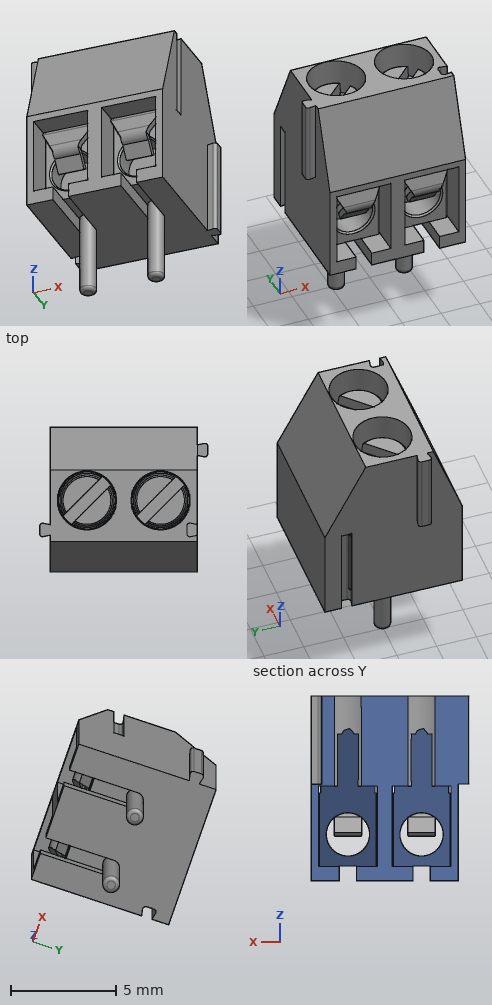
import cadquery as cq
import math


POLE_COUNT = 2
PITCH = 3.5
WIDTH = POLE_COUNT * PITCH
DEPTH = 6.9
TOTAL_HEIGHT = 12.2
PIN_LENGTH = 3.4
HEIGHT = TOTAL_HEIGHT - PIN_LENGTH
SHOULDER_HEIGHT = 4.84
TOP_FRONT = 1.45
TOP_BACK = 4.85

RAIL_REACH = 0.5
RAIL_NECK = 0.51
RAIL_HEAD = 0.72
RAIL_CORNER_RADIUS = 0.15
FRONT_RAIL_Y = 2.01
BACK_RAIL_Y = 5.81
FRONT_RAIL_BOTTOM = 4.6
BACK_RAIL_TOP = 4.7

POLE_Y = 3.42
POCKET_WIDTH = 2.78
POCKET_BOTTOM = 0.7
POCKET_TOP = 4.5
CLAMP_FRONT = 1.29
CLAMP_BACK = 2 * POLE_Y - CLAMP_FRONT
CLAMP_SIDE_GAP = 0.04
CLAMP_WIDTH = POCKET_WIDTH - 2 * CLAMP_SIDE_GAP
CLAMP_TOP = 4.18
CLAMP_EDGE_RADIUS = 0.1

WIRE_HOLE_RADIUS = 1.02
WIRE_HOLE_CHAMFER = 0.09
WIRE_HOLE_Z = 2.21
WIRE_HOLE_DEPTH = 1.22

GUARD_THICKNESS = POCKET_TOP - CLAMP_TOP
GUARD_BEND_RADIUS = 0.46
GUARD_LEAN = math.radians(20)
GUARD_CURL = math.radians(72)
GUARD_TIP_ANGLE = math.radians(37)
GUARD_KNEE_Y = 0.56
GUARD_KNEE_Z = 3.33
GUARD_WIDTH = 2.59
GUARD_TIP_WIDTH = 1.32
GUARD_TAPER_BOTTOM = 3.01
GUARD_TIP_Z = 2.11
GUARD_TIP_CORNER = 0.07

BORE_RADIUS = 1.4
SCREW_RADIUS = 1.35
HEAD_BASE_RADIUS = 1.29
HEAD_RIM_RADIUS = 1.21
SCREW_CHAMFER = 0.07
SCREW_SINK = 1.1
SCREW_TOP = HEIGHT - SCREW_SINK
SCREW_SLOT_WIDTH = 0.57
SCREW_SLOT_DEPTH = 0.71
SCREW_SLOT_ANGLE = 45

PIN_RADIUS = 0.4
PIN_TIP_FILLET = 0.2

POLE_XS = [(i - (POLE_COUNT - 1) / 2) * PITCH for i in range(POLE_COUNT)]


def dovetail(face_x, y, bottom, top):
    """Rail that widens from its neck on the plane x = face_x toward -X."""
    return (
        cq.Workplane("XY", origin=(face_x, y, bottom))
        .moveTo(0, -RAIL_NECK / 2)
        .lineTo(-RAIL_REACH, -RAIL_HEAD / 2)
        .lineTo(-RAIL_REACH, RAIL_HEAD / 2)
        .lineTo(0, RAIL_NECK / 2)
        .close()
        .extrude(top - bottom)
        .edges("|Z and <X")
        .fillet(RAIL_CORNER_RADIUS)
    )


def housing_shell():
    """Solid body with sloping front and back above the shoulders."""
    return (
        cq.Workplane("YZ", origin=(-WIDTH / 2, 0, 0))
        .polyline([
            (0, 0),
            (DEPTH, 0),
            (DEPTH, SHOULDER_HEIGHT),
            (TOP_BACK, HEIGHT),
            (TOP_FRONT, HEIGHT),
            (0, SHOULDER_HEIGHT),
        ])
        .close()
        .extrude(WIDTH)
    )


def pole_cavity(x):
    """Terminal pocket, screw bore from the top, and pin hole with its slot in the pocket floor."""
    pocket = cq.Workplane("XY", origin=(x, 0, POCKET_BOTTOM)).box(
        POCKET_WIDTH, CLAMP_BACK, POCKET_TOP - POCKET_BOTTOM, centered=(True, False, False)
    )
    bore = (
        cq.Workplane("XY", origin=(x, POLE_Y, POCKET_TOP))
        .circle(BORE_RADIUS)
        .extrude(HEIGHT - POCKET_TOP)
    )
    pin_slot = cq.Workplane("XY", origin=(x, 0, 0)).box(
        2 * PIN_RADIUS, POLE_Y, POCKET_BOTTOM, centered=(True, False, False)
    )
    pin_hole = cq.Workplane("XY", origin=(x, POLE_Y, 0)).circle(PIN_RADIUS).extrude(POCKET_BOTTOM)
    return pocket.union(bore).union(pin_slot).union(pin_hole)


def make_housing():
    """Body with rails, matching grooves on the opposite sides, and one cavity for each pole."""
    left, right = -WIDTH / 2, WIDTH / 2
    front_span = (FRONT_RAIL_Y, FRONT_RAIL_BOTTOM, HEIGHT)
    back_span = (BACK_RAIL_Y, 0, BACK_RAIL_TOP)
    housing = housing_shell()
    housing = housing.union(dovetail(left, *front_span))
    housing = housing.cut(dovetail(right, *front_span))
    back_rail = dovetail(right, *back_span).mirror("YZ", (right, 0, 0))
    back_groove = dovetail(left, *back_span).mirror("YZ", (left, 0, 0))
    housing = housing.union(back_rail).cut(back_groove)
    for x in POLE_XS:
        housing = housing.cut(pole_cavity(x))
    return housing


def clamp_block(x):
    """Block with a blind, chamfered wire hole in its front."""
    block = (
        cq.Workplane("XY", origin=(x, CLAMP_FRONT, POCKET_BOTTOM))
        .box(CLAMP_WIDTH, CLAMP_BACK - CLAMP_FRONT, CLAMP_TOP - POCKET_BOTTOM, centered=(True, False, False))
        .edges("|Z")
        .fillet(CLAMP_EDGE_RADIUS)
    )
    wire_hole = (
        cq.Workplane("XZ", origin=(x, CLAMP_FRONT, WIRE_HOLE_Z))
        .circle(WIRE_HOLE_RADIUS)
        .extrude(-WIRE_HOLE_DEPTH)
    )
    mouth = (
        cq.Workplane("XZ", origin=(x, CLAMP_FRONT, WIRE_HOLE_Z))
        .circle(WIRE_HOLE_RADIUS + WIRE_HOLE_CHAMFER)
        .workplane(offset=-WIRE_HOLE_CHAMFER)
        .circle(WIRE_HOLE_RADIUS)
        .loft()
    )
    return block.cut(wire_hole).cut(mouth)


def moved(point, distance, angle):
    """(Y, Z) point moved toward the front, with angle measured upward from straight ahead."""
    return (point[0] - distance * math.cos(angle), point[1] + distance * math.sin(angle))


def guard_strip(x):
    """Full-width strip: flat on the block, crown bend, leaning face, knee bend and inclined tip."""
    outer = GUARD_BEND_RADIUS
    inner = outer - GUARD_THICKNESS
    up = math.pi / 2
    crown_middle = (up + GUARD_LEAN) / 2
    knee_middle = (GUARD_LEAN - GUARD_CURL) / 2

    knee = moved((GUARD_KNEE_Y, GUARD_KNEE_Z), -outer, GUARD_LEAN)
    crown_z = POCKET_TOP - outer
    crown = (knee[0] + (crown_z - knee[1]) * math.tan(GUARD_LEAN), crown_z)
    curl_end = moved(knee, outer, -GUARD_CURL)
    tip_drop = curl_end[1] - GUARD_TIP_Z
    tip_front = (curl_end[0] + tip_drop * math.tan(GUARD_TIP_ANGLE), GUARD_TIP_Z)
    tip_back = moved(tip_front, -GUARD_THICKNESS, -GUARD_TIP_ANGLE)

    return (
        cq.Workplane("YZ", origin=(x - GUARD_WIDTH / 2, 0, 0))
        .moveTo(CLAMP_BACK, POCKET_TOP)
        .lineTo(*moved(crown, outer, up))
        .threePointArc(moved(crown, outer, crown_middle), moved(crown, outer, GUARD_LEAN))
        .lineTo(GUARD_KNEE_Y, GUARD_KNEE_Z)
        .threePointArc(moved(knee, outer, knee_middle), curl_end)
        .lineTo(*tip_front)
        .lineTo(*tip_back)
        .lineTo(*moved(knee, inner, -GUARD_CURL))
        .threePointArc(moved(knee, inner, knee_middle), moved(knee, inner, GUARD_LEAN))
        .lineTo(*moved(crown, inner, GUARD_LEAN))
        .threePointArc(moved(crown, inner, crown_middle), moved(crown, inner, up))
        .lineTo(CLAMP_BACK, CLAMP_TOP)
        .close()
        .extrude(GUARD_WIDTH)
    )


def wire_guard(x):
    """Strip narrowed to the tip width below the clamp top, with rounded tip corners."""
    half_width, half_tip = GUARD_WIDTH / 2, GUARD_TIP_WIDTH / 2
    outline = (
        cq.Workplane("XZ", origin=(x, 0, 0))
        .polyline([
            (-half_width, POCKET_TOP),
            (half_width, POCKET_TOP),
            (half_width, CLAMP_TOP),
            (half_tip, GUARD_TAPER_BOTTOM),
            (half_tip, GUARD_TIP_Z),
            (-half_tip, GUARD_TIP_Z),
            (-half_tip, GUARD_TAPER_BOTTOM),
            (-half_width, CLAMP_TOP),
        ])
        .close()
        .extrude(-CLAMP_BACK)
        .faces("<Z")
        .edges("|Y")
        .fillet(GUARD_TIP_CORNER)
    )
    return guard_strip(x).intersect(outline)


def screw(x):
    """Screw standing on the strip; its head starts level with the floor of the driver slot."""
    slot_floor = SCREW_TOP - SCREW_SLOT_DEPTH
    body = (
        cq.Workplane("XZ", origin=(x, POLE_Y, 0))
        .polyline([
            (0, POCKET_TOP),
            (SCREW_RADIUS, POCKET_TOP),
            (SCREW_RADIUS, slot_floor),
            (HEAD_BASE_RADIUS, slot_floor),
            (HEAD_RIM_RADIUS, SCREW_TOP - SCREW_CHAMFER),
            (HEAD_RIM_RADIUS - SCREW_CHAMFER, SCREW_TOP),
            (0, SCREW_TOP),
        ])
        .close()
        .revolve(360, (0, 0, 0), (0, 1, 0))
    )
    slot = (
        cq.Workplane("XY")
        .box(2 * BORE_RADIUS, SCREW_SLOT_WIDTH, SCREW_SLOT_DEPTH, centered=(True, True, False))
        .rotate((0, 0, 0), (0, 0, 1), SCREW_SLOT_ANGLE)
        .translate((x, POLE_Y, slot_floor))
    )
    return body.cut(slot)


def solder_pin(x):
    """Round pin from the clamp block down through the pocket floor, with a rounded tip."""
    return (
        cq.Workplane("XY", origin=(x, POLE_Y, -PIN_LENGTH))
        .circle(PIN_RADIUS)
        .extrude(PIN_LENGTH + POCKET_BOTTOM)
        .faces("<Z")
        .edges()
        .fillet(PIN_TIP_FILLET)
    )


def make_terminal(x):
    """One metal contact: clamp block with its guard, screw and solder pin."""
    return clamp_block(x).union(wire_guard(x)).union(screw(x)).union(solder_pin(x))


housing = make_housing()
terminals = [make_terminal(x) for x in POLE_XS]

result = cq.Compound.makeCompound([
    housing.solids().val(),
    *[terminal.solids().val() for terminal in terminals],
])